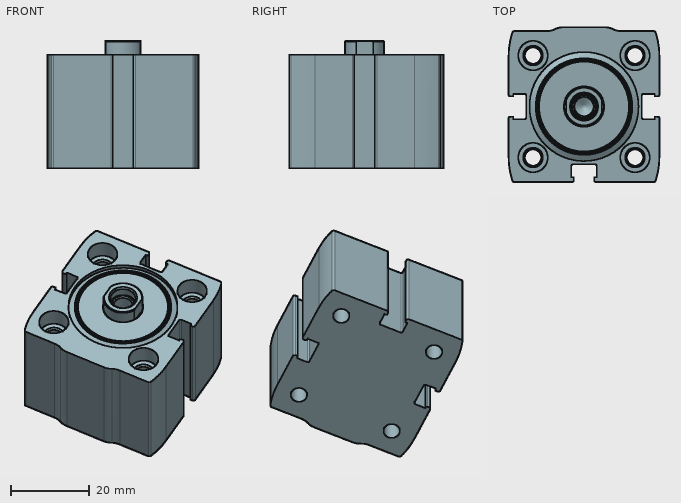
import cadquery as cq
import math


side = 38.5
half_side = side / 2
housing_height = 29.0
side_flat_half = 12.7
corner_half = 18.17
corner_round = 0.65
boss_height = 1.0
boss_top_half = 5.37
boss_base_half = 9.45

slot_depth = 4.5
slot_half = 3.2
mouth_half = 2.55
lip_thickness = 1.25
lip_outer_round = 0.5
lip_inner_round = 0.25
slot_back_round = 0.4

screw_offset = 13.0
screw_diameter = 4.15
screw_chamfer_diameter = 5.0
counterbore_diameter = 7.5
counterbore_depth = 5.0

groove_diameter = 27.8
cover_rim_diameter = 24.65
cover_drop = 0.15
groove_depth = 0.9
ring_outer_diameter = 24.17
ring_inner_diameter = 23.45
ring_depth = 0.4
cover_chamfer = 0.28
rod_hole_chamfer = 0.15
housing_floor = 5.0

rod_diameter = 10.0
rod_projection = 3.5
rod_edge_chamfer = 0.2
flat_half = 4.5
flat_end_depth = 1.0
bore_mouth_diameter = 7.2
bore_diameter = 6.4
bore_depth = 2.73
bore_seat_diameter = 5.85
drill_diameter = 4.9
drill_depth = 9.88
point_angle = math.radians(30)


def housing_blank():
    back = half_side + boss_height
    arc_run = half_side - side_flat_half
    arc_inset = half_side - corner_half
    arc_radius = (arc_run**2 + arc_inset**2) / (2 * arc_inset)
    half_sweep = math.asin(arc_run / arc_radius) / 2
    arc_mid_x = half_side - arc_radius * (1 - math.cos(half_sweep))
    arc_mid_y = side_flat_half + arc_radius * math.sin(half_sweep)

    boss_mid = ((boss_top_half + boss_base_half) / 2, half_side + boss_height / 2)

    outline = (
        cq.Workplane("XY")
        .moveTo(0, -half_side)
        .lineTo(corner_half, -half_side)
        .threePointArc((arc_mid_x, -arc_mid_y), (half_side, -side_flat_half))
        .lineTo(half_side, side_flat_half)
        .threePointArc((arc_mid_x, arc_mid_y), (corner_half, half_side))
        .lineTo(boss_base_half, half_side)
        .tangentArcPoint(boss_mid, relative=False)
        .tangentArcPoint((boss_top_half, back), relative=False)
        .lineTo(0, back)
        .mirrorY()
    )
    blank = outline.extrude(housing_height)
    for x in (-corner_half, corner_half):
        for y in (-half_side, half_side):
            corner_edge = cq.selectors.NearestToPointSelector((x, y, housing_height / 2))
            blank = blank.edges("|Z").edges(corner_edge).fillet(corner_round)
    return blank


def t_slot():
    """Cutter for the slot in the -Y side."""
    outer = -half_side
    lip = outer + lip_thickness
    back = outer + slot_depth
    cos45 = math.cos(math.radians(45))
    outer_mid = lip_outer_round * (1 - cos45)
    inner_mid = lip_inner_round * (1 - cos45)
    back_mid = slot_back_round * (1 - cos45)
    return (
        cq.Workplane("XY")
        .moveTo(0, outer)
        .lineTo(mouth_half + lip_outer_round, outer)
        .threePointArc((mouth_half + outer_mid, outer + outer_mid), (mouth_half, outer + lip_outer_round))
        .lineTo(mouth_half, lip - lip_inner_round)
        .threePointArc((mouth_half + inner_mid, lip - inner_mid), (mouth_half + lip_inner_round, lip))
        .lineTo(slot_half, lip)
        .lineTo(slot_half, back - slot_back_round)
        .threePointArc((slot_half - back_mid, back - back_mid), (slot_half - slot_back_round, back))
        .lineTo(0, back)
        .mirrorY()
        .extrude(housing_height)
    )


def turned(points):
    """Solid of revolution about Z from (radius, height) points."""
    return cq.Workplane("XZ").polyline(points).close().revolve(360, (0, 0, 0), (0, 1, 0))


def screw_hole():
    bore = screw_diameter / 2
    chamfer = screw_chamfer_diameter / 2
    counterbore = counterbore_diameter / 2
    seat = housing_height - counterbore_depth
    return turned([
        (0, 0),
        (bore, 0),
        (bore, seat - (chamfer - bore)),
        (chamfer, seat),
        (counterbore, seat),
        (counterbore, housing_height),
        (0, housing_height),
    ])


def cover_recess():
    """Material removed above the cover face, with the sloping groove and the narrow ring groove."""
    face = housing_height - cover_drop
    return turned([
        (0, face),
        (ring_inner_diameter / 2 - cover_chamfer, face),
        (ring_inner_diameter / 2, face - cover_chamfer),
        (ring_inner_diameter / 2, face - ring_depth),
        (ring_outer_diameter / 2, face - ring_depth),
        (ring_outer_diameter / 2, face),
        (cover_rim_diameter / 2, face),
        (groove_diameter / 2, face - groove_depth),
        (groove_diameter / 2, housing_height),
        (0, housing_height),
    ])


def rod_hole():
    face = housing_height - cover_drop
    radius = rod_diameter / 2
    return turned([
        (0, housing_floor),
        (radius, housing_floor),
        (radius, face - rod_hole_chamfer),
        (radius + rod_hole_chamfer, face),
        (0, face),
    ])


def make_housing():
    body = housing_blank()
    for angle in (-90, 0, 90):
        body = body.cut(t_slot().rotate((0, 0, 0), (0, 0, 1), angle))
    for x in (-screw_offset, screw_offset):
        for y in (-screw_offset, screw_offset):
            body = body.cut(screw_hole().translate((x, y, 0)))
    return body.cut(cover_recess()).cut(rod_hole())


def rod_bore():
    """Stepped threaded bore in the rod end, with conical drill ends."""
    top = housing_height + rod_projection
    mouth = bore_mouth_diameter / 2
    bore = bore_diameter / 2
    seat = bore_seat_diameter / 2
    drill = drill_diameter / 2
    bore_end = top - bore_depth
    drill_end = top - drill_depth
    return turned([
        (0, top),
        (mouth, top),
        (bore, top - (mouth - bore)),
        (bore, bore_end),
        (seat, bore_end),
        (drill, bore_end - (seat - drill) * math.tan(point_angle)),
        (drill, drill_end),
        (0, drill_end - drill * math.tan(point_angle)),
    ])


def make_rod():
    radius = rod_diameter / 2
    top = housing_height + rod_projection
    flat_end = housing_height - flat_end_depth
    shaft = turned([
        (0, housing_floor),
        (radius, housing_floor),
        (radius, flat_end - (radius - flat_half)),
        (flat_half, flat_end),
        (0, flat_end),
    ])
    end = turned([
        (0, housing_floor),
        (radius, housing_floor),
        (radius, top - rod_edge_chamfer),
        (radius - rod_edge_chamfer, top),
        (0, top),
    ])
    between_flats = cq.Workplane("XY").box(2 * flat_half, rod_diameter, top, centered=(True, True, False))
    return shaft.union(end.intersect(between_flats)).cut(rod_bore())


housing = make_housing()
rod = make_rod()
result = cq.Compound.makeCompound([housing.val(), rod.val()])